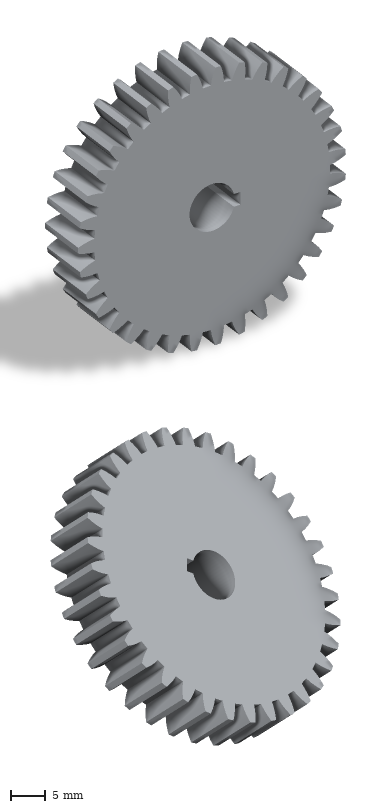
import cadquery as cq
import math

face_width = 8.9
tooth_count = 35
tip_radius = 23.5
root_radius = 20.65

root_thickness = 2.3
mid_thickness = 1.9
tip_thickness = 1.0

bore_diameter = 7.95
keyway_width = 2.15
keyway_reach = 5.0

mid_radius = (root_radius + tip_radius) / 2
pitch_angle = 2 * math.pi / tooth_count
first_tooth_angle = math.pi


def polar_point(radius, angle):
    return (radius * math.cos(angle), radius * math.sin(angle))


def flank_points(radius, thickness, center_angle):
    """Points on the two flanks of a tooth at one radius, in order of rising angle."""
    half_angle = math.asin(thickness / 2 / radius)
    return (
        polar_point(radius, center_angle - half_angle),
        polar_point(radius, center_angle + half_angle),
    )


def gear_blank():
    """Toothed disc: each tooth has arc flanks between its tip and root lands."""
    start, _ = flank_points(root_radius, root_thickness, first_tooth_angle)
    outline = cq.Workplane("YZ").moveTo(*start)

    for tooth in range(tooth_count):
        center_angle = first_tooth_angle + tooth * pitch_angle
        next_angle = center_angle + pitch_angle
        _, root_end = flank_points(root_radius, root_thickness, center_angle)
        mid_start, mid_end = flank_points(mid_radius, mid_thickness, center_angle)
        tip_start, tip_end = flank_points(tip_radius, tip_thickness, center_angle)
        next_root_start, _ = flank_points(root_radius, root_thickness, next_angle)
        gap_middle = polar_point(root_radius, center_angle + pitch_angle / 2)

        outline = (
            outline
            .threePointArc(mid_start, tip_start)
            .threePointArc(polar_point(tip_radius, center_angle), tip_end)
            .threePointArc(mid_end, root_end)
            .threePointArc(gap_middle, next_root_start)
        )

    return outline.close().extrude(face_width / 2, both=True)


def keyed_bore():
    """Through bore with a rectangular keyway on its +Y side."""
    bore = cq.Workplane("YZ").circle(bore_diameter / 2).extrude(face_width / 2, both=True)
    keyway = cq.Workplane("XY").box(
        face_width, keyway_reach, keyway_width, centered=(True, False, True)
    )
    return bore.union(keyway)


result = gear_blank().cut(keyed_bore())